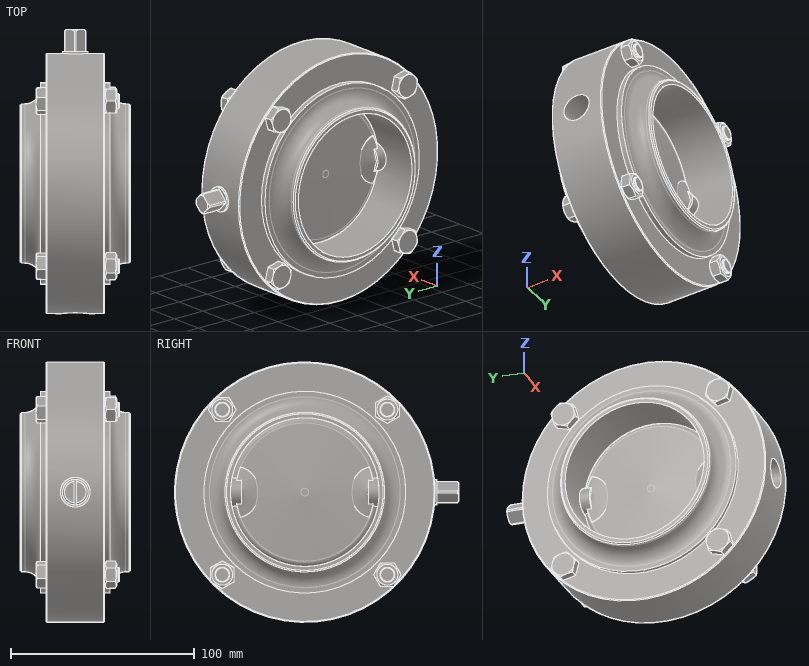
import cadquery as cq
import math


body_diameter = 142.0
body_width = 32.0
body_chamfer = 0.5

overall_length = 60.0
flange_diameter = 110.0
flange_width = 38.0
neck_diameter = 87.0
neck_flare_radius = 8.5
neck_chamfer = 0.8
bore_diameter = 81.0

disc_thickness = 10.2
disc_flat_diameter = 4.13
disc_face_diameter = 75.4
disc_cone_drop = 2.2
disc_rim_thickness = 1.2

hub_diameter = 16.2
hub_inner_end = 34.6
hub_outer_end = 50.0
hub_center = 37.3
hub_foot_x = -3.5
hub_foot_half_length = 12.3
hub_foot_half_width = 13.9
hub_top_x = -7.0
hub_top_half_width = 3.0
hub_steps = 4

stem_diameter = 14.0
stem_collar_end = 72.0
drive_length = 12.0
drive_across_flats = 9.0
drive_angle = 45.0
drive_corner_diameter = 11.7
drive_chamfer = 0.9
stem_hole_diameter = 16.2
stem_hole_depth = 17.0
stem_stub_length = 3.0
stem_stub_chamfer = 1.15
slot_width = 1.4
slot_depth = 1.2

bolt_count = 4
bolt_offset = 45.0
hex_across_flats = 13.0
head_height = 5.3
head_angle = 45.0
nut_height = 6.8
nut_angle = 0.0
head_face_diameter = 13.0
nut_face_diameter = 11.4
hex_chamfer_angle = 30.0
bolt_diameter = 8.0
bolt_tip_diameter = 7.32
bolt_end = 24.0

body_radius = body_diameter / 2
half_body = body_width / 2
half_flange = flange_width / 2
half_length = overall_length / 2
bore_radius = bore_diameter / 2
neck_radius = neck_diameter / 2
hub_top_half_length = hub_center - hub_inner_end
hex_corner_diameter = hex_across_flats / math.cos(math.pi / 6)


def y_cylinder(diameter, start, end):
    """Cylinder along Y between two Y positions."""
    base = cq.Workplane("XZ", origin=(0, start, 0)).circle(diameter / 2)
    return base.extrude(start - end)


def x_cylinder(diameter, start, end):
    """Cylinder along X between two X positions."""
    return cq.Workplane("YZ", origin=(start, 0, 0)).circle(diameter / 2).extrude(end - start)


def make_body():
    body = x_cylinder(body_diameter, -half_body, half_body)
    return body.edges().chamfer(body_chamfer)


def make_flange():
    """Flange ring and flared neck at the -X end."""
    flare_start = -half_flange - neck_flare_radius
    flare_top = neck_radius + neck_flare_radius
    diagonal = neck_flare_radius * math.sqrt(0.5)
    outline = (
        cq.Workplane("XY")
        .moveTo(0, 0)
        .lineTo(-half_length, 0)
        .lineTo(-half_length, neck_radius - neck_chamfer)
        .lineTo(-half_length + neck_chamfer, neck_radius)
        .lineTo(flare_start, neck_radius)
        .threePointArc((flare_start + diagonal, flare_top - diagonal), (-half_flange, flare_top))
        .lineTo(-half_flange, flange_diameter / 2)
        .lineTo(0, flange_diameter / 2)
        .close()
    )
    return outline.revolve(360, (0, 0, 0), (1, 0, 0))


def make_disc_half():
    """-X half of the disc: flat centre, shallow cone and rounded rim."""
    face_radius = disc_face_diameter / 2
    center_x = -disc_thickness / 2
    edge_x = center_x + disc_cone_drop
    rim_x = -disc_rim_thickness / 2
    diagonal = math.sqrt(0.5)
    arc_middle = (
        rim_x + (edge_x - rim_x) * diagonal,
        face_radius + (bore_radius - face_radius) * diagonal,
    )
    outline = (
        cq.Workplane("XY")
        .moveTo(0, 0)
        .lineTo(center_x, 0)
        .lineTo(center_x, disc_flat_diameter / 2)
        .lineTo(edge_x, face_radius)
        .threePointArc(arc_middle, (rim_x, bore_radius))
        .lineTo(0, bore_radius)
        .close()
    )
    return outline.revolve(360, (0, 0, 0), (1, 0, 0))


def make_hub_skirt():
    """Concave skirt at +Y that rises from the -X disc face, inside its rim, to the hub."""
    skirt = cq.Workplane("YZ", origin=(hub_foot_x, hub_center, 0))
    rise = (hub_top_x - hub_foot_x) / hub_steps
    for step in range(hub_steps + 1):
        spread = (1 - step / hub_steps) ** 2
        reach_y = hub_top_half_length + spread * (hub_foot_half_length - hub_top_half_length)
        reach_z = hub_top_half_width + spread * (hub_foot_half_width - hub_top_half_width)
        skirt = skirt.workplane(offset=rise if step else 0)
        skirt = skirt.ellipse(reach_y, reach_z)
    foot = (
        cq.Workplane("YZ", origin=(hub_foot_x, hub_center, 0))
        .ellipse(hub_foot_half_length, hub_foot_half_width)
        .extrude(-hub_foot_x)
    )
    inside_rim = x_cylinder(disc_face_diameter, hub_top_x, 0)
    return skirt.loft().union(foot).intersect(inside_rim)


def mirror_ends(half):
    """The -X half joined to its mirror image at +X."""
    return half.union(half.mirror("YZ"))


def make_hub():
    """Hub at +Y that carries the disc on the stem, with a skirt on both disc faces."""
    hub = y_cylinder(hub_diameter, hub_inner_end, hub_outer_end)
    return hub.union(mirror_ends(make_hub_skirt()))


def make_stem():
    """Stem at +Y with a square drive whose corners are turned off."""
    stem = y_cylinder(stem_diameter, bore_radius, stem_collar_end)
    drive_end = stem_collar_end + drive_length
    drive = (
        cq.Workplane("XZ", origin=(0, stem_collar_end, 0))
        .transformed(rotate=(0, 0, drive_angle))
        .rect(drive_across_flats, drive_across_flats)
        .extrude(-drive_length)
    )
    envelope = y_cylinder(drive_corner_diameter, stem_collar_end, drive_end)
    envelope = envelope.faces(">Y").chamfer(drive_chamfer)
    return stem.union(drive.intersect(envelope))


def make_stem_hole():
    """Recess at -Y that leaves the slotted stem end standing on its floor."""
    floor_y = -body_radius + stem_hole_depth
    stub_end = floor_y - stem_stub_length
    hole = y_cylinder(stem_hole_diameter, -body_radius, floor_y)
    stub = y_cylinder(stem_diameter, stub_end, floor_y).faces("<Y").chamfer(stem_stub_chamfer)
    slot = cq.Workplane("XY").box(slot_width, 2 * slot_depth, stem_diameter)
    return hole.cut(stub.cut(slot.translate((0, stub_end, 0))))


def make_hexagon(start, height, angle, face_diameter, chamfered_faces):
    """Hexagon along X whose corners are turned off on the selected end faces."""
    hexagon = (
        cq.Workplane("YZ", origin=(start, 0, 0))
        .transformed(rotate=(0, 0, angle))
        .polygon(6, hex_corner_diameter)
        .extrude(height)
    )
    inset = (hex_corner_diameter - face_diameter) / 2
    depth = inset * math.tan(math.radians(hex_chamfer_angle))
    envelope = x_cylinder(hex_corner_diameter, start, start + height)
    envelope = envelope.faces(chamfered_faces).chamfer(depth, inset)
    return hexagon.intersect(envelope)


def make_bolt():
    """Bolt head at -X, nut and bolt tip at +X, on the X axis."""
    head = make_hexagon(-half_body - head_height, head_height, head_angle, head_face_diameter, "<X")
    nut = make_hexagon(half_body, nut_height, nut_angle, nut_face_diameter, "<X or >X")
    tip = x_cylinder(bolt_diameter, half_body, bolt_end)
    tip = tip.faces(">X").chamfer((bolt_diameter - bolt_tip_diameter) / 2)
    return head.union(nut).union(tip)


valve = make_body().union(mirror_ends(make_flange()))
valve = valve.cut(x_cylinder(bore_diameter, -half_length, half_length))
valve = valve.union(mirror_ends(make_disc_half()))
hub = make_hub()
valve = valve.union(hub).union(hub.mirror("XZ"))
valve = valve.union(make_stem())
valve = valve.cut(make_stem_hole())
bolt = make_bolt().translate((0, -bolt_offset, bolt_offset))
for index in range(bolt_count):
    valve = valve.union(bolt.rotate((0, 0, 0), (1, 0, 0), index * 360 / bolt_count))

result = valve